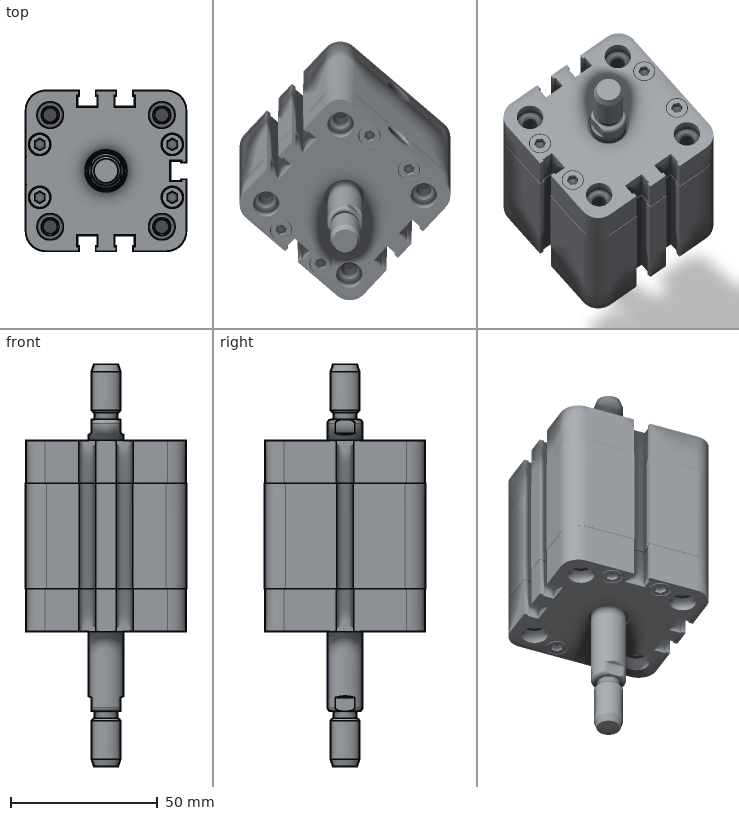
import cadquery as cq
import math

BODY_WIDTH = 54.8
BODY_LENGTH = 65.0
CAP_LENGTH = 14.5
CAP_INSET = 0.13
CAP_CORNER_RADIUS = 6.5
TUBE_CORNER_RADIUS = 7.0

SLOT_PITCH = 12.7
SLOT_OPENING = 5.6
SLOT_WIDTH = 6.6
SLOT_DEPTH = 5.4
SLOT_LIP = 1.95
SLOT_OVERCUT = 1.0
CAP_SLOT_CLEARANCE = 0.3

MOUNT_PITCH = 38.0
MOUNT_BORE_DIAMETER = 9.0
MOUNT_BORE_DEPTH = 5.0
MOUNT_CORE_DIAMETER = 4.92
MOUNT_MOUTH_DIAMETER = 6.1

SCREW_X = 22.55
SCREW_Y = 9.0
SCREW_RECESS_DIAMETER = 7.5
SCREW_HEAD_DIAMETER = 7.0
SCREW_HEAD_HEIGHT = 4.0
SOCKET_ACROSS_FLATS = 3.5
SOCKET_DEPTH = 2.5

PORT_CORE_DIAMETER = 8.57
PORT_MOUTH_DIAMETER = 10.0
PORT_INSET = 8.0

BORE_DIAMETER = 40.0
CAP_END_WALL = 3.0

ROD_DIAMETER = 12.0
ROD_HOLE_DIAMETER = 12.54
ROD_RECESS_DIAMETER = 13.7
ROD_RECESS_DEPTH = 1.0
ROD_RECESS_CHAMFER = 0.3
TOP_ROD_PROJECTION = 26.0
BOTTOM_ROD_PROJECTION = 46.0
THREAD_DIAMETER = 10.0
THREAD_LENGTH = 16.5
THREAD_TIP_DIAMETER = 8.2
THREAD_TIP_CHAMFER = 2.6
THREAD_ROOT_CHAMFER = 0.8
NECK_DIAMETER = 7.9
SHOULDER_FROM_TIP = 18.85
SHOULDER_ROUND = 1.35
FLATS_WIDTH = 10.0
FLATS_END_FROM_TIP = 23.5
FLATS_RUNOUT_ANGLE = 30.0

HALF_WIDTH = BODY_WIDTH / 2
TUBE_LENGTH = BODY_LENGTH - 2 * CAP_LENGTH
CORE_LENGTH = BODY_LENGTH - 2 * CAP_END_WALL


def slot_cutter(length, inset, clearance):
    """T-slot along Z, open toward +Y; the inset widens its mouth and the clearance its pocket."""
    half_opening = SLOT_OPENING / 2 + inset
    half_width = SLOT_WIDTH / 2 + clearance
    mouth_y = HALF_WIDTH + SLOT_OVERCUT
    lip_y = HALF_WIDTH - SLOT_LIP + clearance
    floor_y = HALF_WIDTH - SLOT_DEPTH - clearance
    return (
        cq.Workplane("XY")
        .moveTo(-half_opening, mouth_y)
        .lineTo(-half_opening, lip_y)
        .lineTo(-half_width, lip_y)
        .lineTo(-half_width, floor_y)
        .lineTo(half_width, floor_y)
        .lineTo(half_width, lip_y)
        .lineTo(half_opening, lip_y)
        .lineTo(half_opening, mouth_y)
        .close()
        .extrude(length)
    )


def slotted_block(length, corner_radius, inset, slot_clearance):
    """Square bar along Z, set in on all sides, with rounded corners and the five sensor slots."""
    width = BODY_WIDTH - 2 * inset
    block = (
        cq.Workplane("XY")
        .rect(width, width)
        .extrude(length)
        .edges("|Z")
        .fillet(corner_radius)
    )
    slot = slot_cutter(length, inset, slot_clearance)
    for side in (-1, 1):
        back_slot = slot.translate((side * SLOT_PITCH / 2, 0, 0))
        front_slot = back_slot.mirror("XZ")
        block = block.cut(back_slot).cut(front_slot)
    right_slot = slot.rotate((0, 0, 0), (0, 0, 1), -90)
    return block.cut(right_slot)


def mount_hole():
    """Counterbored, countersunk hole through a cap, outer face at the cap length."""
    core_radius = MOUNT_CORE_DIAMETER / 2
    mouth_radius = MOUNT_MOUTH_DIAMETER / 2
    bore_radius = MOUNT_BORE_DIAMETER / 2
    floor_z = CAP_LENGTH - MOUNT_BORE_DEPTH
    return (
        cq.Workplane("XZ")
        .lineTo(core_radius, 0)
        .lineTo(core_radius, floor_z - (mouth_radius - core_radius))
        .lineTo(mouth_radius, floor_z)
        .lineTo(bore_radius, floor_z)
        .lineTo(bore_radius, CAP_LENGTH)
        .lineTo(0, CAP_LENGTH)
        .close()
        .revolve(360, (0, 0, 0), (0, 1, 0))
    )


def screw_gap():
    """Annular gap around a flush screw head."""
    return (
        cq.Workplane("XY", origin=(0, 0, CAP_LENGTH))
        .circle(SCREW_RECESS_DIAMETER / 2)
        .circle(SCREW_HEAD_DIAMETER / 2)
        .extrude(-SCREW_HEAD_HEIGHT)
    )


def screw_socket():
    """Hexagon socket with two corners on the Y direction."""
    return (
        cq.Workplane("XY", origin=(0, 0, CAP_LENGTH))
        .polygon(6, SOCKET_ACROSS_FLATS / math.cos(math.pi / 6))
        .extrude(-SOCKET_DEPTH)
        .rotate((0, 0, 0), (0, 0, 1), 90)
    )


def port_hole():
    """Chamfered port from the -X side to the inner cylinder."""
    core_radius = PORT_CORE_DIAMETER / 2
    mouth_radius = PORT_MOUTH_DIAMETER / 2
    return (
        cq.Workplane("XY")
        .moveTo(-HALF_WIDTH, 0)
        .lineTo(-HALF_WIDTH, mouth_radius)
        .lineTo(-HALF_WIDTH + mouth_radius - core_radius, core_radius)
        .lineTo(0, core_radius)
        .lineTo(0, 0)
        .close()
        .revolve(360, (0, 0, 0), (1, 0, 0))
        .translate((0, 0, CAP_LENGTH - PORT_INSET))
    )


def rod_hole():
    """Clearance hole for the rod with a chamfered recess in the outer cap face."""
    hole_radius = ROD_HOLE_DIAMETER / 2
    recess_radius = ROD_RECESS_DIAMETER / 2
    recess_z = CAP_LENGTH - ROD_RECESS_DEPTH
    return (
        cq.Workplane("XZ")
        .lineTo(hole_radius, 0)
        .lineTo(hole_radius, recess_z)
        .lineTo(recess_radius, recess_z)
        .lineTo(recess_radius, CAP_LENGTH - ROD_RECESS_CHAMFER)
        .lineTo(recess_radius + ROD_RECESS_CHAMFER, CAP_LENGTH)
        .lineTo(0, CAP_LENGTH)
        .close()
        .revolve(360, (0, 0, 0), (0, 1, 0))
    )


def cap():
    """End cap with its inner face on Z = 0 and its outer face upward."""
    bore = cq.Workplane("XY").circle(BORE_DIAMETER / 2).extrude(CAP_LENGTH - CAP_END_WALL)
    body = slotted_block(CAP_LENGTH, CAP_CORNER_RADIUS, CAP_INSET, CAP_SLOT_CLEARANCE)
    body = body.cut(bore).cut(rod_hole()).cut(port_hole())
    for side_x in (-1, 1):
        for side_y in (-1, 1):
            corner = (side_x * MOUNT_PITCH / 2, side_y * MOUNT_PITCH / 2, 0)
            screw_place = (side_x * SCREW_X, side_y * SCREW_Y, 0)
            body = body.cut(mount_hole().translate(corner))
            body = body.cut(screw_gap().translate(screw_place))
            body = body.cut(screw_socket().translate(screw_place))
    return body


def tube():
    block = slotted_block(TUBE_LENGTH, TUBE_CORNER_RADIUS, inset=0, slot_clearance=0)
    return block.cut(cq.Workplane("XY").circle(BORE_DIAMETER / 2).extrude(TUBE_LENGTH))


def inner_cylinder():
    return (
        cq.Workplane("XY")
        .circle(BORE_DIAMETER / 2)
        .circle(ROD_DIAMETER / 2)
        .extrude(CORE_LENGTH)
    )


def rod_end(length):
    """One rod end from Z = 0 up to the threaded tip at Z = length."""
    rod_radius = ROD_DIAMETER / 2
    thread_radius = THREAD_DIAMETER / 2
    neck_radius = NECK_DIAMETER / 2
    shoulder_z = length - SHOULDER_FROM_TIP
    thread_z = length - THREAD_LENGTH
    end = (
        cq.Workplane("XZ")
        .lineTo(rod_radius, 0)
        .lineTo(rod_radius, shoulder_z - SHOULDER_ROUND)
        .radiusArc((rod_radius - SHOULDER_ROUND, shoulder_z), -SHOULDER_ROUND)
        .lineTo(neck_radius, shoulder_z)
        .lineTo(neck_radius, thread_z)
        .lineTo(thread_radius - THREAD_ROOT_CHAMFER, thread_z)
        .lineTo(thread_radius, thread_z + THREAD_ROOT_CHAMFER)
        .lineTo(thread_radius, length - THREAD_TIP_CHAMFER)
        .lineTo(THREAD_TIP_DIAMETER / 2, length)
        .lineTo(0, length)
        .close()
        .revolve(360, (0, 0, 0), (0, 1, 0))
    )
    flat_x = FLATS_WIDTH / 2
    flat_z = length - FLATS_END_FROM_TIP
    runout = (rod_radius - flat_x) * math.tan(math.radians(FLATS_RUNOUT_ANGLE))
    flat = (
        cq.Workplane("XZ")
        .moveTo(flat_x, shoulder_z)
        .lineTo(flat_x, flat_z)
        .lineTo(rod_radius, flat_z - runout)
        .lineTo(rod_radius, shoulder_z)
        .close()
        .extrude(rod_radius, both=True)
    )
    return end.cut(flat).cut(flat.mirror("YZ"))


def rod():
    """Through rod, both ends joined at mid-body."""
    half_body = BODY_LENGTH / 2
    top_end = rod_end(half_body + TOP_ROD_PROJECTION)
    bottom_end = rod_end(half_body + BOTTOM_ROD_PROJECTION).mirror("XY")
    return top_end.union(bottom_end).translate((0, 0, half_body))


top_cap = cap().translate((0, 0, BODY_LENGTH - CAP_LENGTH))
bottom_cap = cap().mirror("XY").translate((0, 0, CAP_LENGTH))
profile_tube = tube().translate((0, 0, CAP_LENGTH))
core = inner_cylinder().translate((0, 0, CAP_END_WALL))
piston_rod = rod()

result = cq.Compound.makeCompound(
    [top_cap.val(), bottom_cap.val(), profile_tube.val(), core.val(), piston_rod.val()]
)